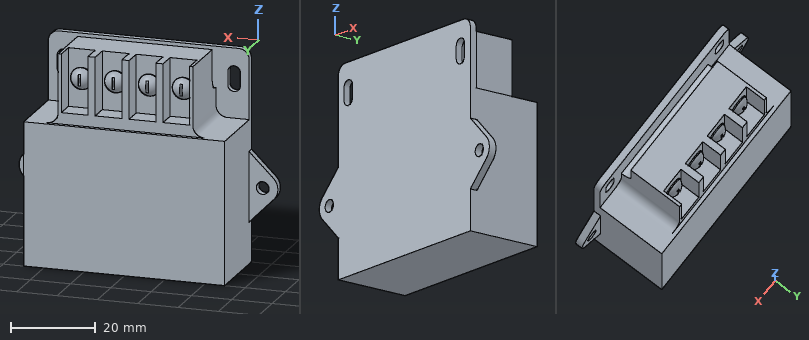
import cadquery as cq
import math


total_width = 64.2
case_width = 49.9
case_depth = 20.2
case_height = 35.6
total_height = 52.85

plate_thickness = 1.8
plate_corner_radius = 2.6

mount_hole_diameter = 3.1
slot_length = 6.3
slot_width = mount_hole_diameter
slot_edge_offset = 3.8
slot_center_z = 45.3

ear_thickness = 2.0
ear_radius = 3.8
ear_center_z = 19.1
ear_center_x = total_width / 2 - ear_radius

terminal_count = 4
terminal_pitch = 8.4
terminal_centers = [
    (i - (terminal_count - 1) / 2) * terminal_pitch for i in range(terminal_count)
]
pocket_width = 6.6
end_wall = 0.8
block_setback = 1.0
block_width = (terminal_count - 1) * terminal_pitch + pocket_width + 2 * end_wall
block_front_y = case_depth - block_setback
block_root_radius = 2.8
gap_width = block_root_radius
gap_depth = 10.2
pocket_depth = 5.3
pocket_floor_z = case_height + block_root_radius
pocket_back_y = block_front_y - pocket_depth

screw_diameter = 5.4
screw_rim_height = 0.3
screw_dome_height = 1.75
screw_slot_width = 0.6
screw_slot_depth = 0.4
screw_center_z = (pocket_floor_z + total_height) / 2


def box_between(x_range, y_range, z_range):
    """Box spanning the given (low, high) range on each axis."""
    low, high = zip(x_range, y_range, z_range)
    size = [b - a for a, b in zip(low, high)]
    return cq.Workplane("XY").box(*size, centered=False).translate(low)


def centered_range(center, width):
    return (center - width / 2, center + width / 2)


def front_plane(y):
    """XZ workplane at the given Y whose extrusions run toward +Y; local x is -X."""
    return cq.Workplane(cq.Plane(origin=(0, y, 0), xDir=(-1, 0, 0), normal=(0, 1, 0)))


def make_plate():
    plate = box_between(
        centered_range(0, case_width), (0, plate_thickness), (0, total_height)
    )
    return plate.edges("|Y and >Z").fillet(plate_corner_radius)


def make_ears():
    """Ears on both sides, each with two 45-degree flanks tangent to a round tip."""
    tangent_offset = ear_radius * math.sin(math.radians(45))
    tangent_x = ear_center_x + tangent_offset
    root_x = case_width / 2
    root_half_height = tangent_offset + (tangent_x - root_x)
    ear = (
        front_plane(0)
        .moveTo(root_x, ear_center_z - root_half_height)
        .lineTo(tangent_x, ear_center_z - tangent_offset)
        .threePointArc(
            (total_width / 2, ear_center_z), (tangent_x, ear_center_z + tangent_offset)
        )
        .lineTo(root_x, ear_center_z + root_half_height)
        .close()
        .extrude(ear_thickness)
    )
    return ear.union(ear.mirror("YZ"))


def make_terminal_block():
    """Block above the case with flared sides at its root and a gap behind it."""
    half_width = block_width / 2
    flare_x = half_width + block_root_radius
    flare_top_z = case_height + block_root_radius
    arc_inset = block_root_radius * (1 - math.sin(math.radians(45)))
    arc_x = half_width + arc_inset
    arc_z = case_height + arc_inset
    block = (
        front_plane(plate_thickness)
        .moveTo(-flare_x, case_height)
        .lineTo(flare_x, case_height)
        .threePointArc((arc_x, arc_z), (half_width, flare_top_z))
        .lineTo(half_width, total_height)
        .lineTo(-half_width, total_height)
        .lineTo(-half_width, flare_top_z)
        .threePointArc((-arc_x, arc_z), (-flare_x, case_height))
        .close()
        .extrude(block_front_y - plate_thickness)
    )
    return block


def make_plate_gap():
    """Gap between plate and block; its floor curves down from the block to the plate."""
    front_y = plate_thickness + gap_width
    floor_z = total_height - gap_depth
    arc_top_z = floor_z + gap_width
    arc_middle_offset = gap_width * math.sin(math.radians(45))
    gap = (
        cq.Workplane("YZ")
        .moveTo(plate_thickness, floor_z)
        .threePointArc(
            (plate_thickness + arc_middle_offset, arc_top_z - arc_middle_offset),
            (front_y, arc_top_z),
        )
        .lineTo(front_y, total_height)
        .lineTo(plate_thickness, total_height)
        .close()
        .extrude(case_width / 2, both=True)
    )
    return gap


def make_housing():
    case = box_between(
        centered_range(0, case_width), (0, case_depth), (0, case_height)
    )
    housing = case.union(make_plate()).union(make_ears()).union(make_terminal_block())
    housing = housing.cut(make_plate_gap())

    for x in terminal_centers:
        housing = housing.cut(
            box_between(
                centered_range(x, pocket_width),
                (pocket_back_y, block_front_y),
                (pocket_floor_z, total_height),
            )
        )

    slot_x = case_width / 2 - slot_edge_offset
    slots = (
        front_plane(0)
        .pushPoints([(-slot_x, slot_center_z), (slot_x, slot_center_z)])
        .slot2D(slot_length, slot_width, angle=90)
        .extrude(plate_thickness)
    )
    ear_holes = (
        front_plane(0)
        .pushPoints([(-ear_center_x, ear_center_z), (ear_center_x, ear_center_z)])
        .circle(mount_hole_diameter / 2)
        .extrude(ear_thickness)
    )
    return housing.cut(slots).cut(ear_holes)


def make_screw(x):
    """Domed screw head with a straight driver slot along Z."""
    radius = screw_diameter / 2
    head_height = screw_rim_height + screw_dome_height
    dome_radius = (radius**2 + screw_dome_height**2) / (2 * screw_dome_height)
    arc_angle = math.asin(radius / dome_radius) / 2
    arc_middle = (
        head_height - dome_radius * (1 - math.cos(arc_angle)),
        dome_radius * math.sin(arc_angle),
    )
    head = (
        cq.Workplane("YZ")
        .lineTo(0, radius)
        .lineTo(screw_rim_height, radius)
        .threePointArc(arc_middle, (head_height, 0))
        .close()
        .revolve(360, (0, 0, 0), (1, 0, 0))
    )
    driver_slot = box_between(
        centered_range(0, screw_slot_width),
        (head_height - screw_slot_depth, head_height),
        centered_range(0, screw_diameter),
    )
    return head.cut(driver_slot).translate((x, pocket_back_y, screw_center_z))


housing = make_housing()
screws = [make_screw(x) for x in terminal_centers]

result = cq.Compound.makeCompound([housing.val(), *[screw.val() for screw in screws]])